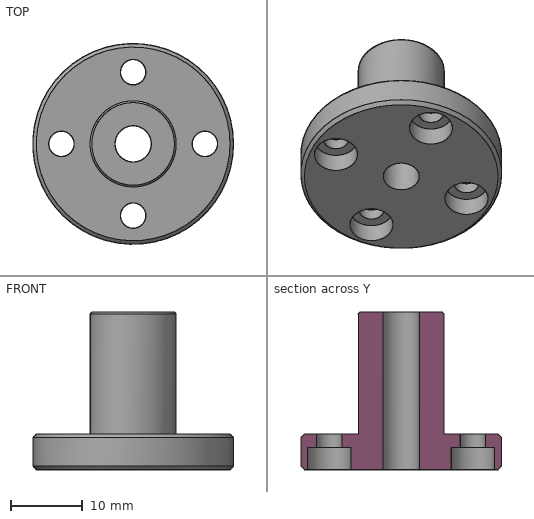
import cadquery as cq

flange_diameter = 28.0
flange_thickness = 5.0
flange_chamfer = 0.5

total_height = 22.0
barrel_diameter = 12.0
barrel_chamfer = 0.25
bore_diameter = 5.0

screw_count = 4
screw_circle_diameter = 20.0
screw_hole_diameter = 3.5
counterbore_diameter = 6.0
screw_seat_thickness = 1.9
counterbore_depth = flange_thickness - screw_seat_thickness


def make_flange():
    """Disc resting on Z = 0, chamfered on both rims."""
    disc = cq.Workplane("XY").circle(flange_diameter / 2).extrude(flange_thickness)
    return disc.edges().chamfer(flange_chamfer)


def make_barrel():
    """Central cylinder over the full height, chamfered at its top rim."""
    barrel = cq.Workplane("XY").circle(barrel_diameter / 2).extrude(total_height)
    return barrel.faces(">Z").edges().chamfer(barrel_chamfer)


def make_bore():
    return cq.Workplane("XY").circle(bore_diameter / 2).extrude(total_height)


def make_screw_cylinders(diameter, height):
    """Cylinders rising from Z = 0 at every screw position."""
    return (
        cq.Workplane("XY")
        .polarArray(screw_circle_diameter / 2, 0, 360, screw_count)
        .circle(diameter / 2)
        .extrude(height)
    )


result = (
    make_flange()
    .union(make_barrel())
    .cut(make_bore())
    .cut(make_screw_cylinders(screw_hole_diameter, flange_thickness))
    .cut(make_screw_cylinders(counterbore_diameter, counterbore_depth))
)